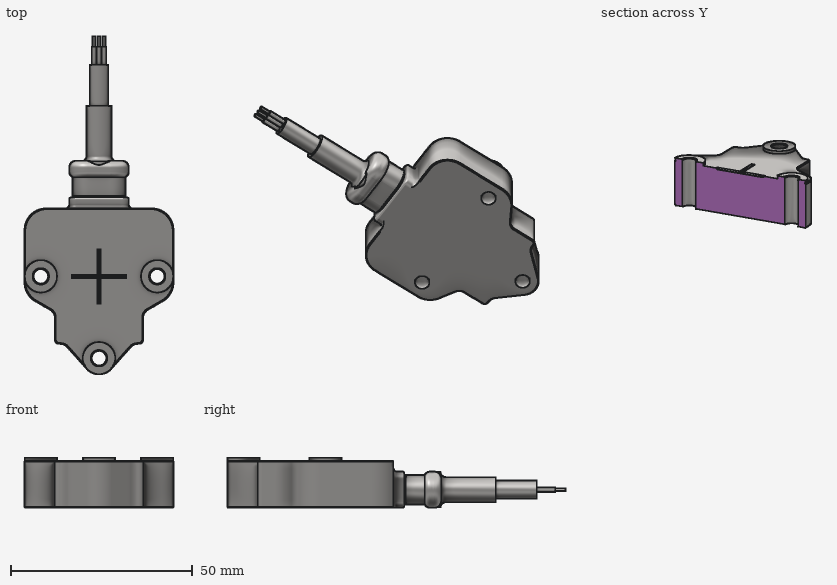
import cadquery as cq
import math


body_height = 13.0
body_half_width = 41.0 / 2
body_back_y = 18.7
back_corner_radius = 6.05
waist_half_width = 24.3 / 2
waist_end_y = -18.6
shoulder_corner_y = -5.1
shoulder_slope = math.radians(30)
shoulder_radius = 6.05
waist_fillet_radius = 2.5
waist_corner_radius = 1.2
tip_fillet_radius = 2.5
tip_line_normal = math.radians(41.8)
body_edge_chamfer = 0.3

pick_margin = 0.1

hole_radius = 4.0 / 2
hole_chamfer = 0.3
hole_chamfer_angle = 90
pad_radius = 4.5
pad_height = 0.8
side_hole_x = 16.0
tip_hole_y = -22.5
hole_centres = [(-side_hole_x, 0), (side_hole_x, 0), (0, tip_hole_y)]

cross_length = 15.0
cross_width = 0.9
cross_depth = 0.4
cross_wall_angle = 45

axis_z = 5.0
flange_half_width = 16.5 / 2
flange_end_y = 21.7
flange_corner_radius = 2.0
flange_edge_radius = 0.6
flange_flare_radius = 0.9
plate_margin = 0.5
plate_thickness = 0.9
collar_start_y = 27.1
collar_end_y = 31.8
collar_back_radius = 1.8
collar_front_radius = 2.0
neck_inset = 0.9
neck_start_y = 22.1
core_inset = 1.5
sleeve_radius = 7.0 / 2
sleeve_end_y = 46.9
sleeve_flare_start_y = 33.0
sleeve_flare_radius = 1.4

cable_radius = 5.1 / 2
cable_end_y = 58.2
wire_pitch = 1.4
insulation_radius = 0.65
insulation_end_y = 63.2
conductor_radius = 0.42
overall_length = 93.05
tip_radius = pad_radius
conductor_end_y = tip_hole_y - tip_radius + overall_length


def along_y(y):
    """Workplane facing +Y at the given y, centred on the cable axis (local x is -X)."""
    return cq.Workplane("XZ", origin=(0, y, axis_z)).transformed(rotate=(0, 180, 0))


def rod(radius, start_y, end_y, x=0):
    return along_y(start_y).center(-x, 0).circle(radius).extrude(end_y - start_y)


def flat_oval(inset, start_y, end_y):
    """Bar along Y with fully rounded sides, set in from the outline of the collar."""
    width = 2 * (flange_half_width - inset)
    height = 2 * (axis_z - inset)
    return along_y(start_y).slot2D(width, height).extrude(end_y - start_y)


def make_body():
    waist_top_y = shoulder_corner_y - (body_half_width - waist_half_width) * math.tan(shoulder_slope)
    normal_x = math.cos(tip_line_normal)
    normal_y = -math.sin(tip_line_normal)
    notch_x = (tip_radius - (waist_end_y - tip_hole_y) * normal_y) / normal_x
    tip_tangent = (tip_radius * normal_x, tip_hole_y + tip_radius * normal_y)

    corners = [
        (body_half_width, body_back_y, back_corner_radius),
        (body_half_width, shoulder_corner_y, shoulder_radius),
        (waist_half_width, waist_top_y, waist_fillet_radius),
        (waist_half_width, waist_end_y, waist_corner_radius),
        (notch_x, waist_end_y, tip_fillet_radius),
    ]
    right = [(x, y) for x, y, _ in corners]
    left = [(-x, y) for x, y in reversed(right)]
    body = (
        cq.Workplane("XY")
        .polyline(right + [tip_tangent])
        .threePointArc((0, tip_hole_y - tip_radius), (-tip_tangent[0], tip_tangent[1]))
        .polyline(left, includeCurrent=True)
        .close()
        .extrude(body_height)
    )
    for x, y, radius in corners:
        for side_x in (-x, x):
            near_corner = cq.selectors.BoxSelector(
                (side_x - pick_margin, y - pick_margin, 0),
                (side_x + pick_margin, y + pick_margin, body_height),
            )
            body = body.edges(near_corner).fillet(radius)
    return body.faces("<Z or >Z").chamfer(body_edge_chamfer)


def make_cross():
    top = cq.Workplane("XY", origin=(0, 0, body_height))
    across = top.rect(cross_length, cross_width).extrude(-cross_depth, taper=cross_wall_angle)
    along = top.rect(cross_width, cross_length).extrude(-cross_depth, taper=cross_wall_angle)
    return across.union(along)


def make_flange():
    bar = (
        along_y(body_back_y)
        .rect(2 * flange_half_width, 2 * axis_z)
        .extrude(flange_end_y - body_back_y)
        .edges("|Y")
        .fillet(flange_corner_radius)
    )
    bar = bar.faces(">Y").edges().fillet(flange_edge_radius)

    plate_overhang = flange_flare_radius + plate_margin
    plate = (
        along_y(body_back_y - plate_thickness)
        .rect(2 * (flange_half_width + plate_overhang), 2 * (axis_z + plate_overhang))
        .extrude(plate_thickness)
    )
    root_edges = cq.selectors.BoxSelector(
        (-flange_half_width - pick_margin, body_back_y - pick_margin, -pick_margin),
        (flange_half_width + pick_margin, body_back_y + pick_margin, 2 * axis_z + pick_margin),
        boundingbox=True,
    )
    flange = plate.union(bar).edges(root_edges).fillet(flange_flare_radius)

    above_underside = cq.Workplane("XY").box(
        2 * body_half_width, 2 * flange_end_y, body_height, centered=(True, True, False)
    )
    return flange.intersect(above_underside)


def make_collar():
    collar = flat_oval(0, collar_start_y, collar_end_y)
    collar = collar.faces(">Y").edges().fillet(collar_front_radius)
    return collar.faces("<Y").edges().fillet(collar_back_radius)


def make_sleeve():
    arc_centre = (sleeve_radius + sleeve_flare_radius, sleeve_flare_start_y)
    arc_step = sleeve_flare_radius * math.sqrt(0.5)
    flare_x = arc_centre[0]
    flare_end_y = sleeve_flare_start_y - sleeve_flare_radius
    return (
        cq.Workplane("XY", origin=(0, 0, axis_z))
        .moveTo(0, collar_start_y)
        .lineTo(sleeve_radius, collar_start_y)
        .lineTo(flare_x, collar_end_y - collar_front_radius)
        .lineTo(flare_x, flare_end_y)
        .threePointArc(
            (arc_centre[0] - arc_step, arc_centre[1] - arc_step),
            (sleeve_radius, sleeve_flare_start_y),
        )
        .lineTo(sleeve_radius, sleeve_end_y)
        .lineTo(0, sleeve_end_y)
        .close()
        .revolve(360, (0, 0, 0), (0, 1, 0))
    )


def make_cable():
    cable = rod(cable_radius, sleeve_end_y, cable_end_y)
    for x in (-wire_pitch, 0, wire_pitch):
        cable = cable.union(rod(insulation_radius, cable_end_y, insulation_end_y, x))
        cable = cable.union(rod(conductor_radius, insulation_end_y, conductor_end_y, x))
    return cable


housing = make_body()
pads = cq.Workplane("XY", origin=(0, 0, body_height)).pushPoints(hole_centres)
housing = housing.union(pads.circle(pad_radius).extrude(pad_height))
housing = housing.faces(">Z").workplane(origin=(0, 0, 0)).pushPoints(hole_centres)
rim_diameter = 2 * (hole_radius + hole_chamfer)
housing = housing.cskHole(2 * hole_radius, rim_diameter, hole_chamfer_angle)
housing = housing.cut(make_cross())

core = flat_oval(core_inset, body_back_y, neck_start_y)
neck = flat_oval(neck_inset, neck_start_y, (collar_start_y + collar_end_y) / 2)

result = (
    housing
    .union(make_flange())
    .union(core)
    .union(neck)
    .union(make_collar())
    .union(make_sleeve())
    .union(make_cable())
)